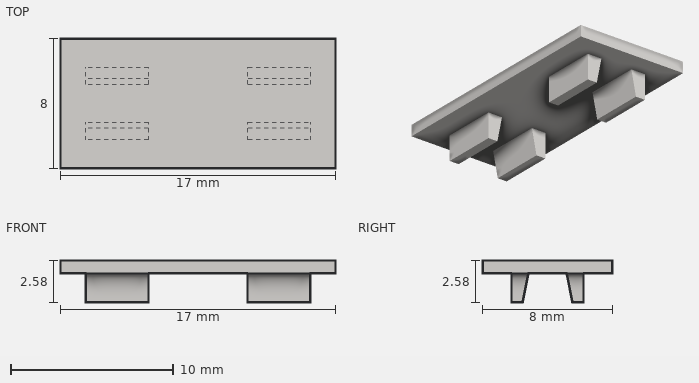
import cadquery as cq

plate_length = 17.0
plate_width = 8.0
total_height = 2.58
plate_thickness = 0.8

leg_length = 3.9
leg_end_inset = 1.56
leg_outer_span = 4.45
leg_root_thickness = 1.05
leg_tip_thickness = 0.7

leg_height = total_height - plate_thickness
leg_center_x = plate_length / 2 - leg_end_inset - leg_length / 2
leg_outer_y = leg_outer_span / 2


def make_plate():
    """Flat plate with its underside at Z = 0."""
    return cq.Workplane("XY").box(
        plate_length, plate_width, plate_thickness, centered=(True, True, False)
    )


def make_leg(center_x, side):
    """Leg with a vertical outer face and a sloping inner face; side is +1 or -1 along Y."""
    profile = [
        (side * leg_outer_y, 0),
        (side * (leg_outer_y - leg_root_thickness), 0),
        (side * (leg_outer_y - leg_tip_thickness), -leg_height),
        (side * leg_outer_y, -leg_height),
    ]
    return (
        cq.Workplane("YZ", origin=(center_x, 0, 0))
        .polyline(profile)
        .close()
        .extrude(leg_length / 2, both=True)
    )


result = make_plate()
for leg_x in (-leg_center_x, leg_center_x):
    for leg_side in (-1, 1):
        result = result.union(make_leg(leg_x, leg_side))